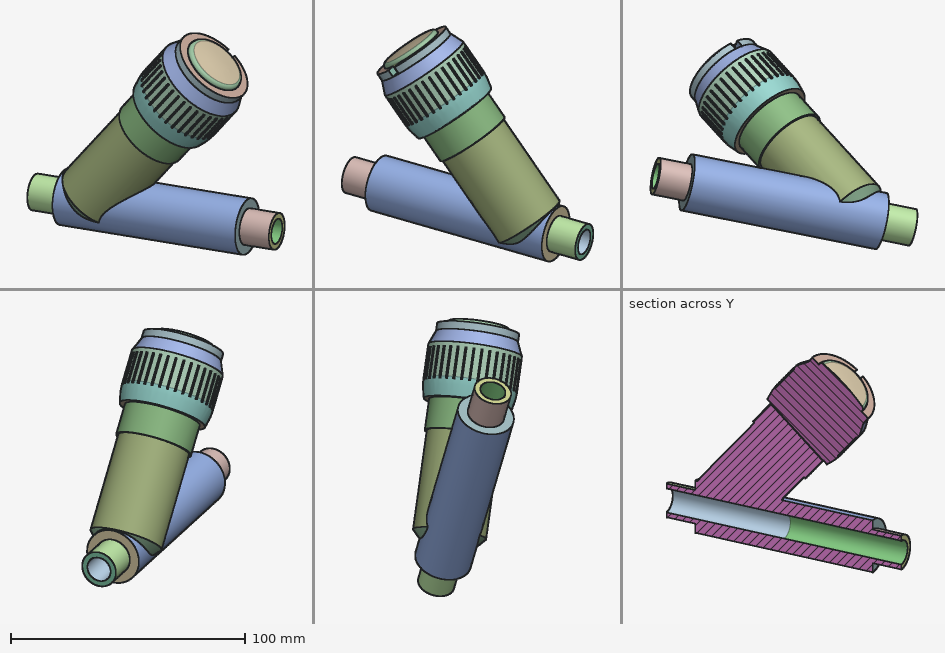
import cadquery as cq
import math


pipe_length = 114.0
spigot_diameter = 16.0
run_diameter = 24.5
run_length = 86.2
bore_diameter = 11.0

branch_angle = 50.0
branch_crossing_x = -32.0
branch_start = 3.1
branch_diameter = 31.6
nose_diameter = 21.0
nose_length = 5.7
collar_start = 46.0
collar_diameter = 33.3

wheel_start = 59.6
wheel_diameter = 40.5
wheel_mouth_diameter = 38.0
skirt_length = 8.4
grip_length = 14.9
shoulder_length = 5.9
rim_diameter = 35.5
rim_height = 3.4
skirt_end = wheel_start + skirt_length
grip_end = skirt_end + grip_length
rim_start = grip_end + shoulder_length
rim_end = rim_start + rim_height

button_diameter = 27.4
button_height = 2.0
button_edge_radius = 1.7
dome_rise = 0.9

groove_count = 36
groove_width = 0.6
groove_depth = 0.5
groove_skirt_overlap = 0.9
groove_shoulder_gap = 1.9
groove_start = skirt_end - groove_skirt_overlap
groove_end = grip_end - groove_shoulder_gap
slot_width = 3.8

angle = math.radians(branch_angle)
branch_plane = cq.Plane(
    origin=(branch_crossing_x, 0, 0),
    xDir=(math.sin(angle), 0, -math.cos(angle)),
    normal=(math.cos(angle), 0, math.sin(angle)),
)


def pipe_cylinder(diameter, length):
    """Cylinder along X, centred on the origin."""
    return cq.Workplane("YZ").circle(diameter / 2).extrude(length / 2, both=True)


def branch_cylinder(diameter, start, end):
    """Cylinder on the bonnet axis between two stations."""
    return cq.Workplane(branch_plane).workplane(offset=start).circle(diameter / 2).extrude(end - start)


def branch_nose():
    """Cone that narrows the lower end of the bonnet, mostly sunk in the pipe run."""
    return (
        cq.Workplane(branch_plane)
        .workplane(offset=branch_start)
        .circle(branch_diameter / 2)
        .workplane(offset=-nose_length)
        .circle(nose_diameter / 2)
        .loft(ruled=True)
    )


def make_housing():
    """Pipe run with spigots, inclined bonnet with nose and collar, bored straight through."""
    spigots = pipe_cylinder(spigot_diameter, pipe_length)
    run = pipe_cylinder(run_diameter, run_length)
    branch = branch_cylinder(branch_diameter, branch_start, collar_start)
    nose = branch_nose()
    collar = branch_cylinder(collar_diameter, collar_start, wheel_start)
    bore = pipe_cylinder(bore_diameter, pipe_length)
    return spigots.union(run).union(branch).union(nose).union(collar).cut(bore)


def make_wheel_blank():
    """Revolved handwheel: curved skirt, grip, conical shoulder, rim and button."""
    wheel_radius = wheel_diameter / 2
    rim_radius = rim_diameter / 2
    button_radius = button_diameter / 2
    dome_edge_radius = button_radius - button_edge_radius
    dome_edge = rim_end + button_height
    edge_arc_start = dome_edge - button_edge_radius
    edge_arc_offset = button_edge_radius * math.sin(math.radians(45))

    skirt_drop = (wheel_diameter - wheel_mouth_diameter) / 2
    skirt_arc_radius = (skirt_length**2 + skirt_drop**2) / (2 * skirt_drop)
    skirt_arc_centre = wheel_radius - skirt_arc_radius
    skirt_mid_radius = skirt_arc_centre + math.sqrt(skirt_arc_radius**2 - (skirt_length / 2) ** 2)

    dome_arc_radius = (dome_edge_radius**2 + dome_rise**2) / (2 * dome_rise)
    dome_mid_radius = dome_edge_radius / 2
    dome_arc_centre = dome_edge + dome_rise - dome_arc_radius
    dome_mid = dome_arc_centre + math.sqrt(dome_arc_radius**2 - dome_mid_radius**2)

    profile_plane = cq.Plane(
        origin=branch_plane.origin,
        xDir=branch_plane.xDir,
        normal=branch_plane.yDir.multiply(-1),
    )
    return (
        cq.Workplane(profile_plane)
        .moveTo(0, wheel_start)
        .lineTo(wheel_mouth_diameter / 2, wheel_start)
        .threePointArc((skirt_mid_radius, wheel_start + skirt_length / 2), (wheel_radius, skirt_end))
        .lineTo(wheel_radius, grip_end)
        .lineTo(rim_radius, rim_start)
        .lineTo(rim_radius, rim_end)
        .lineTo(button_radius, rim_end)
        .lineTo(button_radius, edge_arc_start)
        .threePointArc(
            (dome_edge_radius + edge_arc_offset, edge_arc_start + edge_arc_offset),
            (dome_edge_radius, dome_edge),
        )
        .threePointArc((dome_mid_radius, dome_mid), (0, dome_edge + dome_rise))
        .close()
        .revolve(360, (0, 0), (0, 1))
    )


def make_grooves():
    """Narrow axial grooves spaced evenly around the grip."""
    return (
        cq.Workplane(branch_plane)
        .workplane(offset=groove_start)
        .polarArray(wheel_diameter / 2, 0, 360, groove_count)
        .rect(2 * groove_depth, groove_width)
        .extrude(groove_end - groove_start)
    )


def make_pointer_slot():
    """Slot across the rim on its +Y side, from the button out to the rim edge."""
    slot = (
        cq.Workplane(branch_plane)
        .workplane(offset=rim_start)
        .center(0, rim_diameter / 4)
        .rect(slot_width, rim_diameter / 2)
        .extrude(rim_height)
    )
    return slot.cut(branch_cylinder(button_diameter, rim_start, rim_end))


def make_handwheel():
    """Handwheel with its grip grooves and pointer slot."""
    return make_wheel_blank().cut(make_grooves()).cut(make_pointer_slot())


housing = make_housing()
handwheel = make_handwheel()

result = cq.Compound.makeCompound([housing.val(), handwheel.val()])